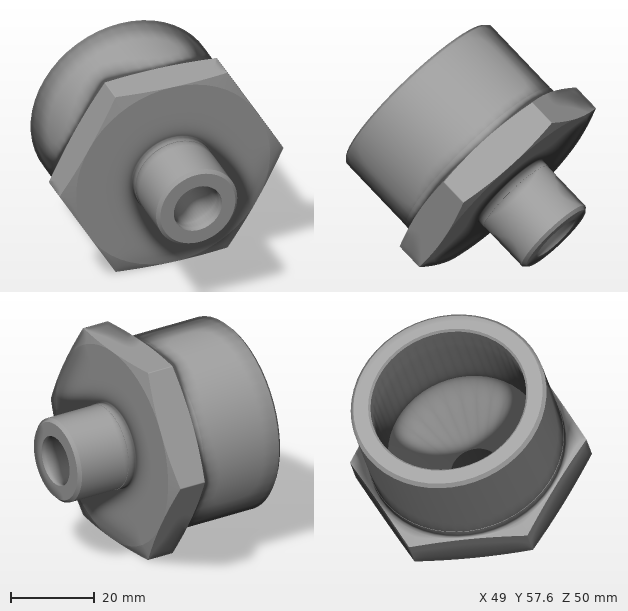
import cadquery as cq
import math

large_end_length = 24.0
hex_width = 9.0
overall_length = 49.0
hex_start = large_end_length
hex_end = hex_start + hex_width

large_diameter = 47.8
large_collar_diameter = 48.0
large_collar_length = 2.0
large_end_chamfer = 0.8

small_diameter = 20.95
small_collar_diameter = 21.16
small_collar_length = 2.0
small_end_chamfer = 0.8

root_fillet = 0.3

across_flats = 50.0
hex_edge_fillet = 0.3
hex_chamfer_angle = 15.0

large_bore_diameter = 38.0
large_bore_depth = 22.0
large_bore_chamfer = 0.5
through_bore_diameter = 12.4
funnel_half_angle = 45.0


def disc(x_start, length, diameter):
    """Cylinder on the X axis, from x_start towards +X."""
    return cq.Workplane("YZ", origin=(x_start, 0, 0)).circle(diameter / 2).extrude(length)


def revolve_about_x(profile):
    """Solid of revolution from a closed (x, radius) outline."""
    return cq.Workplane("XY").polyline(profile).close().revolve(360, (0, 0, 0), (1, 0, 0))


def make_hexagon():
    """Hexagon with flats facing +Z and -Z, eased edges and conical chamfers on both faces."""
    across_corners = across_flats / math.cos(math.pi / 6)
    prism = (
        cq.Workplane("YZ", origin=(hex_start, 0, 0))
        .polygon(6, across_corners)
        .extrude(hex_width)
        .edges("|X")
        .fillet(hex_edge_fillet)
    )
    flat_radius = across_flats / 2
    outer_radius = across_corners / 2
    chamfer_depth = (outer_radius - flat_radius) * math.tan(math.radians(hex_chamfer_angle))
    envelope = revolve_about_x([
        (hex_start, 0),
        (hex_start, flat_radius),
        (hex_start + chamfer_depth, outer_radius),
        (hex_end - chamfer_depth, outer_radius),
        (hex_end, flat_radius),
        (hex_end, 0),
    ])
    return prism.intersect(envelope)


def make_root_fillet(face_x, direction, diameter):
    """Ring with a concave quarter-round between a hexagon face and a collar."""
    radius = diameter / 2
    tip_x = face_x + direction * root_fillet
    arc_reach = root_fillet * (1 - math.sqrt(0.5))
    return (
        cq.Workplane("XY")
        .moveTo(face_x, 0)
        .lineTo(face_x, radius + root_fillet)
        .threePointArc((face_x + direction * arc_reach, radius + arc_reach), (tip_x, radius))
        .lineTo(tip_x, 0)
        .close()
        .revolve(360, (0, 0, 0), (1, 0, 0))
    )


def make_large_end():
    spigot = disc(0, large_end_length, large_diameter).faces("<X").chamfer(large_end_chamfer)
    collar = disc(hex_start - large_collar_length, large_collar_length, large_collar_diameter)
    return spigot.union(collar).union(make_root_fillet(hex_start, -1, large_collar_diameter))


def make_small_end():
    spigot = disc(hex_end, overall_length - hex_end, small_diameter)
    spigot = spigot.faces(">X").chamfer(small_end_chamfer)
    collar = disc(hex_end, small_collar_length, small_collar_diameter)
    return spigot.union(collar).union(make_root_fillet(hex_end, 1, small_collar_diameter))


def make_bore():
    """Chamfered wide bore, funnel and narrow through bore as one cutting body."""
    wide_radius = large_bore_diameter / 2
    narrow_radius = through_bore_diameter / 2
    funnel_length = (wide_radius - narrow_radius) / math.tan(math.radians(funnel_half_angle))
    funnel_end = large_bore_depth + funnel_length
    return revolve_about_x([
        (0, 0),
        (0, wide_radius + large_bore_chamfer),
        (large_bore_chamfer, wide_radius),
        (large_bore_depth, wide_radius),
        (funnel_end, narrow_radius),
        (overall_length, narrow_radius),
        (overall_length, 0),
    ])


result = make_hexagon().union(make_large_end()).union(make_small_end()).cut(make_bore())